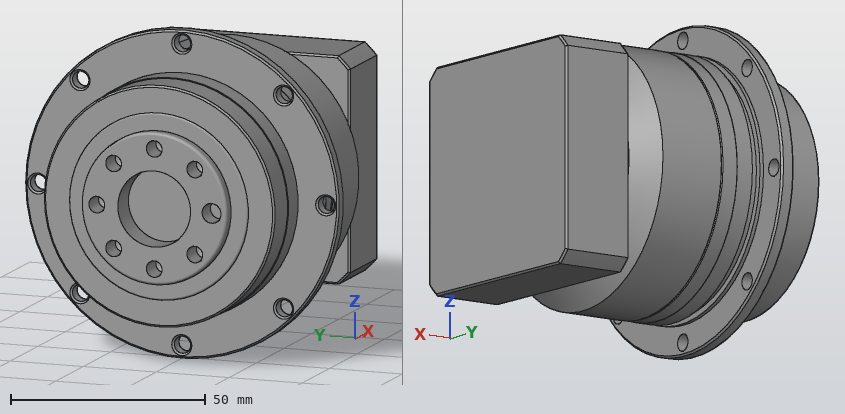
import cadquery as cq
import math

boss_face = 3.0
nose_face = 3.5
nose_step = 13.1
flange_front = 20.0
flange_back = 24.0
groove_front = 25.1
groove_back = 27.5
rear_land = 32.3
housing_back = 37.1
cone_front = 56.0
cone_back = 61.7
plate_front = 62.95
overall_length = 83.0

body_radius = 35.0
edge_chamfer = 0.5

shaft_radius = 19.95
shaft_fillet = 0.8
shaft_seat_depth = 10.3
bore_radius = 10.0
bore_depth = 7.7
shaft_hole_count = 8
shaft_hole_circle_radius = 15.7
tapped_radius = 2.15
tapped_depth = 6.9
drill_point_angle = 118
dowel_radius = 2.6
dowel_depth = 6.0

boss_radius = 24.5
boss_fillet = 0.5
nose_radius = 31.65
shoulder_radius = 31.9
flange_radius = 43.0
groove_radius = 33.45
rear_land_radius = 34.9
housing_back_chamfer = 0.3
mount_hole_count = 8
mount_hole_circle_radius = 39.5
mount_hole_radius = 2.2
mount_hole_chamfer = 0.5

adapter_front_chamfer = 0.35
neck_radius = 28.0
plate_side = 59.85
plate_corner_radius = 40.1


def revolve_x(profile):
    """Revolve (x, radius) points, closed along the X axis, about that axis."""
    return cq.Workplane("XY").polyline(profile).close().revolve(360, (0, 0), (1, 0))


def rod_x(front, length, radius, y=0.0, z=0.0):
    """Cylinder that runs in +X from the given front plane."""
    return cq.Workplane("YZ", origin=(front, y, z)).circle(radius).extrude(length)


def circle_points(count, radius):
    """(y, z) points spaced evenly on a circle, the first one on -Y."""
    angles = [math.pi + 2 * math.pi * i / count for i in range(count)]
    return [(radius * math.cos(a), radius * math.sin(a)) for a in angles]


def tapped_hole(y, z):
    """Blind hole with a conical drill point."""
    tip_length = tapped_radius / math.tan(math.radians(drill_point_angle / 2))
    profile = [
        (0, 0),
        (0, tapped_radius),
        (tapped_depth, tapped_radius),
        (tapped_depth + tip_length, 0),
    ]
    return revolve_x(profile).translate((0, y, z))


def make_shaft():
    """Output flange with a blind bore, a dowel hole on -Y and a ring of tapped holes."""
    shaft = rod_x(0, shaft_seat_depth, shaft_radius)
    shaft = shaft.faces("<X").edges().fillet(shaft_fillet)
    shaft = shaft.cut(rod_x(0, bore_depth, bore_radius))
    dowel_place, *tapped_places = circle_points(shaft_hole_count, shaft_hole_circle_radius)
    shaft = shaft.cut(rod_x(0, dowel_depth, dowel_radius, *dowel_place))
    for y, z in tapped_places:
        shaft = shaft.cut(tapped_hole(y, z))
    return shaft


def mount_hole(y, z):
    """Through hole in the flange with a chamfered front rim."""
    rim_radius = mount_hole_radius + mount_hole_chamfer
    profile = [
        (flange_front, 0),
        (flange_front, rim_radius),
        (flange_front + mount_hole_chamfer, mount_hole_radius),
        (flange_back, mount_hole_radius),
        (flange_back, 0),
    ]
    return revolve_x(profile).translate((0, y, z))


def make_housing():
    """Stepped round housing with a drilled mounting flange and a seat for the shaft."""
    profile = [
        (nose_face, 0),
        (nose_face, nose_radius - edge_chamfer),
        (nose_face + edge_chamfer, nose_radius),
        (nose_step, nose_radius),
        (nose_step, shoulder_radius),
        (flange_front, shoulder_radius),
        (flange_front, flange_radius - edge_chamfer),
        (flange_front + edge_chamfer, flange_radius),
        (flange_back - edge_chamfer, flange_radius),
        (flange_back, flange_radius - edge_chamfer),
        (flange_back, body_radius),
        (groove_front, body_radius),
        (groove_front, groove_radius),
        (groove_back, groove_radius),
        (groove_back, body_radius),
        (rear_land, body_radius),
        (rear_land, rear_land_radius),
        (housing_back - housing_back_chamfer, rear_land_radius),
        (housing_back, rear_land_radius - housing_back_chamfer),
        (housing_back, 0),
    ]
    boss = rod_x(boss_face, nose_step - boss_face, boss_radius).faces("<X").edges().fillet(boss_fillet)
    housing = revolve_x(profile).union(boss)
    housing = housing.cut(rod_x(0, shaft_seat_depth, shaft_radius))
    for y, z in circle_points(mount_hole_count, mount_hole_circle_radius):
        housing = housing.cut(mount_hole(y, z))
    return housing


def make_adapter():
    """Round, tapering adapter that ends in a square motor plate with rounded corners."""
    profile = [
        (housing_back, 0),
        (housing_back, body_radius - adapter_front_chamfer),
        (housing_back + adapter_front_chamfer, body_radius),
        (cone_front, body_radius),
        (cone_back, neck_radius),
        (plate_front, neck_radius),
        (plate_front, 0),
    ]
    plate_length = overall_length - plate_front
    plate = cq.Workplane("YZ", origin=(plate_front, 0, 0)).rect(plate_side, plate_side)
    plate = plate.extrude(plate_length)
    plate = plate.intersect(rod_x(plate_front, plate_length, plate_corner_radius))
    plate = plate.faces("<X or >X").edges().chamfer(edge_chamfer)
    return revolve_x(profile).union(plate)


shaft = make_shaft()
housing = make_housing()
adapter = make_adapter()
result = cq.Compound.makeCompound([shaft.val(), housing.val(), adapter.val()])